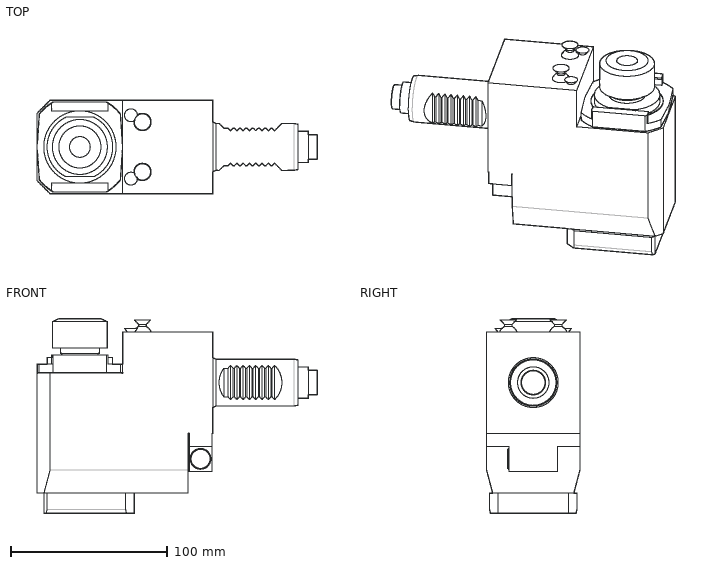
import cadquery as cq


body_width = 60.0
half_width = body_width / 2
nose_right = 96.8
slot_width = 0.5
block_left = 54.7
block_right = 112.0
block_top = 32.5
block_bottom = -40.7
nose_top = 6.1
nose_bottom = -70.7
corner_chamfer = 8.5
taper_start = -55.8
taper_inset = 4.0
slot_top = -32.5

pad_thickness = 0.5

lug_width = 30.9
lug_bottom = -56.9
lug_boss_radius = 6.6
lug_boss_chamfer = 0.5
lug_boss_height = 0.9

cover_left = 4.5
cover_right = 62.3
cover_width = 56.0
cover_bottom = -83.6
cover_left_chamfer = 2.0
cover_right_chamfer = 5.5
cover_bevel_height = 2.5
cover_bevel_inset = 0.5

spindle_x = 27.5
plate_top = 11.8
plate_width = 57.8
plate_round_radius = 33.5
plate_half_length = 27.3
plate_edge_setback = 1.8
plate_nose_half_width = 2.0
bar_length = 36.3
bar_width = 6.0
bar_top = 17.8
bar_lip_height = 1.0
bar_lip_overhang = 1.3
plate_bottom_chamfer = 0.4
recess_radius = 23.2
recess_depth = 0.5
collar_radius = 21.0
collar_flat_width = 38.0
collar_top = 16.2
neck_radius = 11.7
neck_ring_radius = 12.5
neck_ring_bottom = 18.7
nut_radius = 17.6
nut_bottom = 22.0
nut_top = 41.0
nut_bevel_height = 2.0
nut_bevel_inset = 4.1
bore_radius = 6.6

nozzle_x = 67.5
nozzle_y = 16.0
nozzle_head_radius = 5.2
nozzle_stem_radius = 2.5
nozzle_dome_radius = 5.5
nozzle_dome_height = 3.5
nozzle_dome_mid_radius = 4.3
nozzle_dome_mid_height = 2.0
nozzle_head_base = 4.7
nozzle_height = 7.5
plug_x = 60.1
plug_y = 20.3
plug_radius = 4.1
plug_base_radius = 2.5
plug_height = 2.2

shank_radius = 15.0
shank_right = 167.1
shank_end_bevel_length = 2.7
shank_end_bevel_inset = 0.5
shank_root_radius = 16.0
shank_root_end = 114.5
step_radius = 10.0
step_right = 173.5
tip_radius = 7.9
tip_right = 179.5
tip_chamfer = 0.4

flat_offset = 12.0
flat_left = 119.5
valley_offset = 10.5
first_valley = 123.9
last_valley = 152.0
valley_count = 8
tooth_pitch = (last_valley - first_valley) / (valley_count - 1)


def box_between(x_range, width, z_range):
    """Box centred on Y = 0 between the given X and Z limits."""
    length = x_range[1] - x_range[0]
    height = z_range[1] - z_range[0]
    return cq.Workplane("XY").box(length, width, height, centered=(False, True, False)).translate(
        (x_range[0], 0, z_range[0])
    )


def disc(x, radius, z_range):
    """Upright cylinder on Y = 0."""
    return cq.Workplane("XY", origin=(x, 0, z_range[0])).circle(radius).extrude(z_range[1] - z_range[0])


def make_nose():
    nose = box_between((0, nose_right), body_width, (nose_bottom, nose_top))
    nose = nose.edges("|Z and <X").chamfer(corner_chamfer)
    section = (
        cq.Workplane("YZ")
        .moveTo(-half_width, nose_top)
        .lineTo(-half_width, taper_start)
        .lineTo(-half_width + taper_inset, nose_bottom)
        .lineTo(half_width - taper_inset, nose_bottom)
        .lineTo(half_width, taper_start)
        .lineTo(half_width, nose_top)
        .close()
        .extrude(nose_right)
    )
    return nose.intersect(section)


def make_block():
    block = box_between((block_left, block_right), body_width, (slot_top, block_top))
    below_slot = box_between((nose_right + slot_width, block_right), body_width, (block_bottom, slot_top))
    pad = box_between((block_right, block_right + pad_thickness), body_width, (slot_top, block_top))
    return block.union(below_slot).union(pad)


def make_lug():
    lug_left = nose_right + slot_width
    lug = box_between((lug_left, block_right), lug_width, (lug_bottom, block_bottom))
    boss_x = (lug_left + block_right) / 2
    boss_z = (lug_bottom + block_bottom) / 2
    boss = (
        cq.Workplane("XZ", origin=(boss_x, 0, boss_z))
        .circle(lug_boss_radius)
        .extrude(lug_width / 2 + lug_boss_height)
        .faces("<Y")
        .chamfer(lug_boss_chamfer)
    )
    return lug.union(boss)


def make_cover():
    cover = box_between((cover_left, cover_right), cover_width, (cover_bottom, nose_bottom))
    cover = cover.faces("<Z").edges("|X").chamfer(cover_bevel_height, cover_bevel_inset)
    half = cover_width / 2
    outline = (
        cq.Workplane("XY", origin=(0, 0, cover_bottom))
        .moveTo(cover_left, half - cover_left_chamfer)
        .lineTo(cover_left + cover_left_chamfer, half)
        .lineTo(cover_right - cover_right_chamfer, half)
        .lineTo(cover_right, half - cover_right_chamfer)
        .lineTo(cover_right, -half + cover_right_chamfer)
        .lineTo(cover_right - cover_right_chamfer, -half)
        .lineTo(cover_left + cover_left_chamfer, -half)
        .lineTo(cover_left, -half + cover_left_chamfer)
        .close()
        .extrude(nose_bottom - cover_bottom)
    )
    return cover.intersect(outline)


def make_bar():
    """Bar along the +Y edge of the plate, with a lip overhanging towards the spindle."""
    outer = plate_width / 2
    lip_face = outer - bar_width
    wall_face = lip_face + bar_lip_overhang
    return (
        cq.Workplane("YZ", origin=(spindle_x - bar_length / 2, 0, 0))
        .moveTo(outer, nose_top)
        .lineTo(outer, bar_top)
        .lineTo(lip_face, bar_top)
        .lineTo(lip_face, bar_top - bar_lip_height)
        .lineTo(wall_face, bar_top - bar_lip_height)
        .lineTo(wall_face, nose_top)
        .close()
        .extrude(bar_length)
    )


def make_flange():
    half = plate_width / 2
    left = spindle_x - plate_half_length
    right = spindle_x + plate_half_length
    outline = (
        cq.Workplane("XY", origin=(0, 0, nose_top))
        .moveTo(left, plate_nose_half_width)
        .lineTo(left + plate_edge_setback, half)
        .lineTo(right - plate_edge_setback, half)
        .lineTo(right, plate_nose_half_width)
        .lineTo(right, -plate_nose_half_width)
        .lineTo(right - plate_edge_setback, -half)
        .lineTo(left + plate_edge_setback, -half)
        .lineTo(left, -plate_nose_half_width)
        .close()
    )
    flange = outline.extrude(plate_top - nose_top)
    flange = flange.union(make_bar()).union(make_bar().mirror("XZ"))
    flange = flange.intersect(disc(spindle_x, plate_round_radius, (nose_top, bar_top)))
    flange = flange.faces("<Z").chamfer(plate_bottom_chamfer)
    return flange.cut(disc(spindle_x, recess_radius, (plate_top - recess_depth, plate_top)))


def make_spindle():
    collar = disc(spindle_x, collar_radius, (nose_top, collar_top))
    collar_reach = (spindle_x - collar_radius, spindle_x + collar_radius)
    collar = collar.intersect(box_between(collar_reach, collar_flat_width, (nose_top, collar_top)))
    neck = disc(spindle_x, neck_radius, (collar_top, nut_bottom))
    neck_ring = disc(spindle_x, neck_ring_radius, (neck_ring_bottom, nut_bottom))
    nut = disc(spindle_x, nut_radius, (nut_bottom, nut_top))
    nut = nut.faces(">Z").chamfer(nut_bevel_height, nut_bevel_inset)
    bore = disc(spindle_x, bore_radius, (nut_bottom, nut_top))
    return collar.union(neck).union(neck_ring).union(nut).cut(bore)


def make_nozzle():
    return (
        cq.Workplane("XZ")
        .lineTo(nozzle_dome_radius, 0)
        .threePointArc(
            (nozzle_dome_mid_radius, nozzle_dome_mid_height),
            (nozzle_stem_radius, nozzle_dome_height),
        )
        .lineTo(nozzle_stem_radius, nozzle_head_base)
        .lineTo(nozzle_head_radius, nozzle_height)
        .lineTo(0, nozzle_height)
        .close()
        .revolve(360, (0, 0), (0, 1))
    )


def make_plug():
    return (
        cq.Workplane("XZ")
        .lineTo(plug_base_radius, 0)
        .lineTo(plug_radius, plug_height)
        .lineTo(0, plug_height)
        .close()
        .revolve(360, (0, 0), (0, 1))
    )


def make_toothed_cutter():
    """Cutter for the +Y flat: 45 degree ends and a row of 45 degree valleys."""
    reach = shank_radius - flat_offset
    valley_depth = flat_offset - valley_offset
    cutter = cq.Workplane("XY").moveTo(flat_left - reach, shank_radius).lineTo(flat_left, flat_offset)
    for index in range(valley_count):
        valley_x = first_valley + index * tooth_pitch
        cutter = cutter.lineTo(valley_x - valley_depth, flat_offset).lineTo(valley_x, valley_offset)
        if index < valley_count - 1:
            cutter = cutter.lineTo(valley_x + valley_depth, flat_offset)
    cutter = cutter.lineTo(last_valley + shank_radius - valley_offset, shank_radius)
    return cutter.close().extrude(shank_radius, both=True)


def make_shank():
    face = block_right + pad_thickness
    shank = (
        cq.Workplane("XY")
        .moveTo(face, 0)
        .lineTo(face, shank_root_radius)
        .lineTo(shank_root_end, shank_radius)
        .lineTo(shank_right - shank_end_bevel_length, shank_radius)
        .lineTo(shank_right, shank_radius - shank_end_bevel_inset)
        .lineTo(shank_right, step_radius)
        .lineTo(step_right, step_radius)
        .lineTo(step_right, tip_radius)
        .lineTo(tip_right - tip_chamfer, tip_radius)
        .lineTo(tip_right, tip_radius - tip_chamfer)
        .lineTo(tip_right, 0)
        .close()
        .revolve(360, (0, 0), (1, 0))
    )
    cutter = make_toothed_cutter()
    return shank.cut(cutter).cut(cutter.mirror("XZ"))


result = make_nose().union(make_block()).union(make_lug()).union(make_cover())
result = result.union(make_flange()).union(make_spindle()).union(make_shank())
for side in (-1, 1):
    result = result.union(make_nozzle().translate((nozzle_x, side * nozzle_y, block_top)))
    result = result.union(make_plug().translate((plug_x, side * plug_y, block_top)))